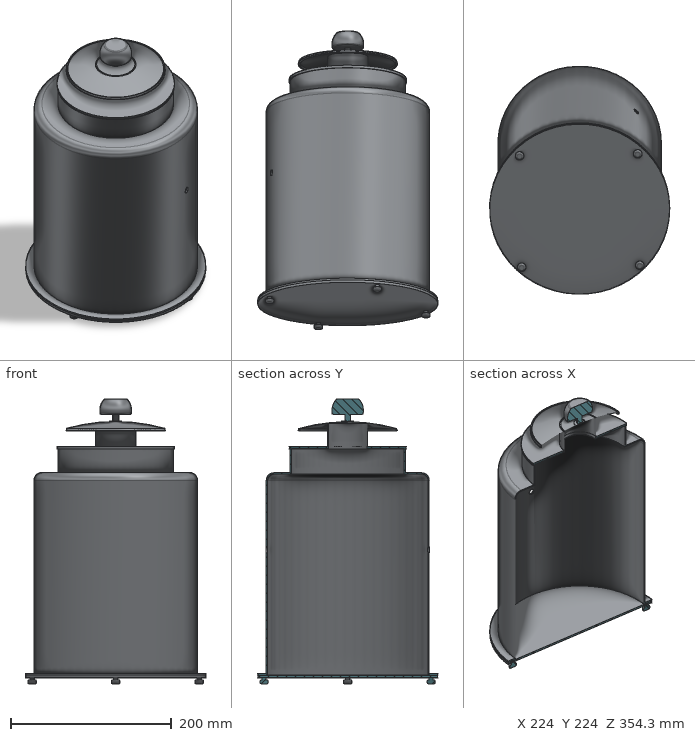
import cadquery as cq
import math

foot_count = 4
foot_ring_radius = 103.8
foot_head_radius = 5.3
foot_head_height = 5.3
foot_head_rounding = 2.0
foot_stem_radius = 3.0
foot_height = 7.8

base_radius = 112.0
base_thickness = 3.2

sheet = 2.0
housing_radius = 101.7
shoulder_height = 252.0
shoulder_rounding = 10.0
neck_radius = 72.0
neck_height = 29.5
hole_radius = 3.5
hole_z = 167.0

plate_overhang = 1.0
plate_thickness = 3.2
tube_radius = 25.0
tube_wall = 1.5
dome_rim_gap = 18.8
dome_rim_radius = 61.5
dome_edge_radius = 61.0
dome_wall = 1.0
dome_rise = 8.5
rim_rounding = 1.0
rim_bevel_height = 2.5

total_height = 354.3
ball_radius = 20.0
ball_top = 14.0
ball_bottom = 5.3
ball_edge_rounding = 2.0
stem_radius = 4.0
disc_radius = 7.5
disc_height = 0.7

base_top = foot_height + base_thickness
shoulder_z = base_top + shoulder_height
neck_top = shoulder_z + neck_height
plate_top = neck_top + plate_thickness
rim_bottom = plate_top + dome_rim_gap
rim_ridge = rim_bottom + rim_rounding
dome_edge = rim_ridge + rim_bevel_height
dome_apex = dome_edge + dome_rise
ball_center = total_height - ball_top

dome_sphere_radius = (dome_edge_radius**2 + dome_rise**2) / (2 * dome_rise)
dome_center = dome_apex - dome_sphere_radius


def disc(radius, bottom, top):
    return cq.Workplane("XY").workplane(offset=bottom).circle(radius).extrude(top - bottom)


def dome_point(radius, depth=0):
    """Point of the dome at a radius, on its outer sphere or at a depth below it."""
    sphere_radius = dome_sphere_radius - depth
    return radius, dome_center + math.sqrt(sphere_radius**2 - radius**2)


def make_foot():
    head = disc(foot_head_radius, 0, foot_head_height).edges().fillet(foot_head_rounding)
    return head.union(disc(foot_stem_radius, foot_head_height, foot_height)).solids()


def make_feet():
    feet = []
    for index in range(foot_count):
        foot = make_foot().translate((foot_ring_radius, 0, 0))
        feet.append(foot.rotate((0, 0, 0), (0, 0, 1), index * 360 / foot_count))
    return feet


def make_base():
    return disc(base_radius, foot_height, base_top)


def make_housing():
    body = disc(housing_radius, base_top, shoulder_z).faces(">Z").edges().fillet(shoulder_rounding)
    flange = disc(base_radius, base_top, base_top + sheet)
    neck = disc(neck_radius, shoulder_z - sheet, neck_top)
    cavity = disc(housing_radius - sheet, base_top, shoulder_z - sheet)
    cavity = cavity.faces(">Z").edges().fillet(shoulder_rounding - sheet)
    neck_bore = disc(neck_radius - sheet, shoulder_z - sheet, neck_top)
    side_holes = cq.Workplane("YZ").center(0, hole_z).circle(hole_radius).extrude(housing_radius, both=True)
    shell = body.union(flange).union(neck).cut(cavity).cut(neck_bore)
    return shell.cut(side_holes).solids()


def make_lid():
    plate_radius = neck_radius + plate_overhang
    bore_radius = tube_radius - tube_wall
    rim_bottom_radius = dome_rim_radius - rim_rounding
    rim_inner_radius = rim_bottom_radius - dome_wall
    outline = (
        cq.Workplane("XZ")
        .moveTo(bore_radius, neck_top)
        .lineTo(plate_radius, neck_top)
        .lineTo(plate_radius, plate_top)
        .lineTo(tube_radius, plate_top)
        .lineTo(*dome_point(tube_radius, dome_wall))
        .threePointArc(
            dome_point((tube_radius + rim_inner_radius) / 2, dome_wall),
            dome_point(rim_inner_radius, dome_wall),
        )
        .lineTo(rim_inner_radius, rim_bottom)
        .lineTo(rim_bottom_radius, rim_bottom)
        .tangentArcPoint((dome_rim_radius, rim_ridge), relative=False)
        .lineTo(dome_edge_radius, dome_edge)
        .threePointArc(dome_point(dome_edge_radius / 2), dome_point(0))
        .lineTo(*dome_point(0, dome_wall))
        .threePointArc(dome_point(bore_radius / 2, dome_wall), dome_point(bore_radius, dome_wall))
        .close()
    )
    return outline.revolve(360, (0, 0, 0), (0, 1, 0))


def make_knob():
    ball = cq.Workplane("XY").sphere(ball_radius).intersect(disc(ball_radius, -ball_bottom, ball_top))
    ball = ball.faces(">Z or <Z").edges().fillet(ball_edge_rounding).translate((0, 0, ball_center))
    stem = disc(stem_radius, dome_apex, ball_center)
    foot_disc = disc(disc_radius, dome_point(disc_radius)[1], dome_apex + disc_height)
    dome_ball = cq.Workplane("XY").sphere(dome_sphere_radius).translate((0, 0, dome_center))
    return ball.union(stem).union(foot_disc.cut(dome_ball)).solids()


base = make_base()
housing = make_housing()
lid = make_lid()
knob = make_knob()
feet = make_feet()

result = cq.Compound.makeCompound(
    [base.val(), housing.val(), lid.val(), knob.val(), *[foot.val() for foot in feet]]
)